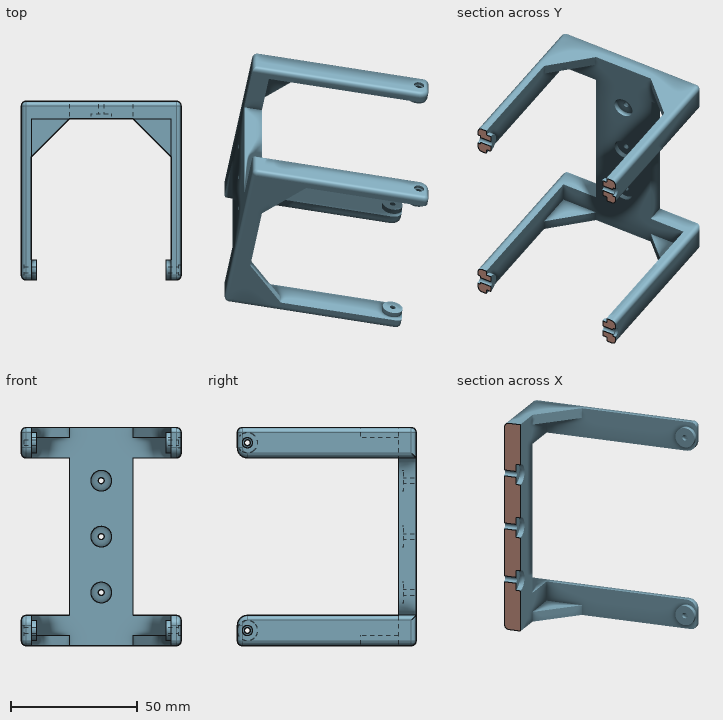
import cadquery as cq

WIDTH = 63.0
DEPTH = 70.5
HEIGHT = 86.0

ARM_THICKNESS = 4.0
ARM_HEIGHT = 12.0
BACK_THICKNESS = 7.05
EDGE_ROUND = 2.0
TIP_ROUND = 4.0

GUSSET_LEG = 15.0
GUSSET_HEIGHT = 4.0

BOSS_DIAMETER = 8.0
BOSS_LENGTH = 2.0
PIVOT_HOLE_DIAMETER = 2.2
PIVOT_RECESS_DIAMETER = 4.0
PIVOT_RECESS_DEPTH = 1.0

SCREW_COUNT = 3
SCREW_PITCH = 22.0
SCREW_HOLE_DIAMETER = 2.2
SCREW_HEAD_DIAMETER = 8.2
SCREW_HEAD_DEPTH = 2.0

OUTER_X = WIDTH / 2
INNER_X = OUTER_X - ARM_THICKNESS
TOP_Z = HEIGHT / 2
BACK_Y = DEPTH / 2
TIP_Y = -DEPTH / 2
INNER_Y = BACK_Y - BACK_THICKNESS
SPINE_WIDTH = 2 * (INNER_X - GUSSET_LEG)
PIVOT_Y = TIP_Y + BOSS_DIAMETER / 2
PIVOT_Z = TOP_Z - ARM_HEIGHT / 2


def upper_fork():
    """Upper crossbar with its two arms, rounded on the outside."""
    fork = (
        cq.Workplane("XY", origin=(0, 0, TOP_Z - ARM_HEIGHT))
        .moveTo(-OUTER_X, BACK_Y)
        .lineTo(OUTER_X, BACK_Y)
        .lineTo(OUTER_X, TIP_Y)
        .lineTo(INNER_X, TIP_Y)
        .lineTo(INNER_X, INNER_Y)
        .lineTo(-INNER_X, INNER_Y)
        .lineTo(-INNER_X, TIP_Y)
        .lineTo(-OUTER_X, TIP_Y)
        .close()
        .extrude(ARM_HEIGHT)
    )
    fork = fork.faces("<Y").edges("<Z").fillet(TIP_ROUND)
    fork = fork.faces("<Y").edges(">Z").fillet(EDGE_ROUND)
    side_edges = fork.faces("<X or >X").edges()
    back_top_edge = fork.faces(">Y").edges(">Z")
    return side_edges.add(back_top_edge).fillet(EDGE_ROUND)


def spine():
    """Upright plate joining the two crossbars."""
    return cq.Workplane("XY").box(SPINE_WIDTH, BACK_THICKNESS, HEIGHT - 2 * ARM_HEIGHT).translate(
        (0, BACK_Y - BACK_THICKNESS / 2, 0)
    )


def gusset(side, bottom_z):
    """Triangular plate in the inner corner at side = -1 (left) or +1 (right)."""
    return (
        cq.Workplane("XY", origin=(0, 0, bottom_z))
        .moveTo(side * INNER_X, INNER_Y)
        .lineTo(side * (INNER_X - GUSSET_LEG), INNER_Y)
        .lineTo(side * INNER_X, INNER_Y - GUSSET_LEG)
        .close()
        .extrude(GUSSET_HEIGHT)
    )


def x_cylinder(side, z, diameter, start, length):
    """Cylinder on a pivot axis, running outward from |x| = start on one side."""
    axis = cq.Vector(side, 0, 0)
    base = cq.Vector(side * start, PIVOT_Y, z)
    return cq.Workplane(cq.Solid.makeCylinder(diameter / 2, length, base, axis))


def add_pivot(body, side, z):
    """Boss inside the arm tip, a through hole and an outer recess."""
    boss_x = INNER_X - BOSS_LENGTH
    body = body.union(x_cylinder(side, z, BOSS_DIAMETER, boss_x, BOSS_LENGTH))
    body = body.cut(x_cylinder(side, z, PIVOT_HOLE_DIAMETER, boss_x, OUTER_X - boss_x))
    recess_x = OUTER_X - PIVOT_RECESS_DEPTH
    return body.cut(x_cylinder(side, z, PIVOT_RECESS_DIAMETER, recess_x, PIVOT_RECESS_DEPTH))


def cut_screw_holes(body):
    """Column of holes in the spine, counterbored from the arm side."""
    return (
        body.copyWorkplane(cq.Workplane("XZ", origin=(0, INNER_Y, 0)))
        .rarray(0.9, SCREW_PITCH, 1, SCREW_COUNT)
        .cboreHole(SCREW_HOLE_DIAMETER, SCREW_HEAD_DIAMETER, SCREW_HEAD_DEPTH)
    )


def make_frame():
    """H-shaped frame with four arms and the two lower gussets."""
    fork = upper_fork()
    frame = fork.union(fork.mirror("XY")).union(spine())
    for side in (-1, 1):
        frame = frame.union(gusset(side, -TOP_Z))
    frame = frame.clean()
    for side in (-1, 1):
        for z in (-PIVOT_Z, PIVOT_Z):
            frame = add_pivot(frame, side, z)
    return cut_screw_holes(frame)


frame = make_frame()

upper_gussets = [gusset(side, TOP_Z - GUSSET_HEIGHT).val() for side in (-1, 1)]

result = cq.Compound.makeCompound([frame.val(), *upper_gussets])